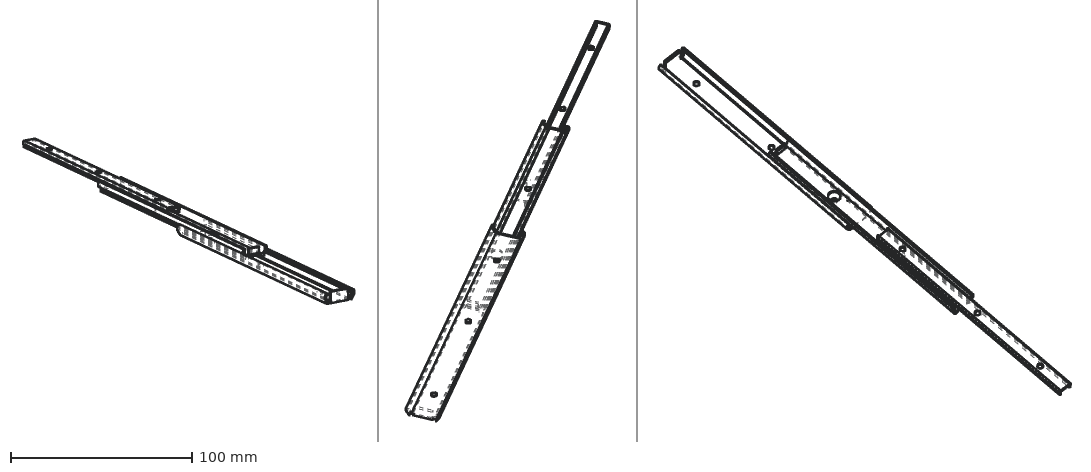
import cadquery as cq
import math

total_length = 314.6
outer_length = 150.0
outer_start = total_length - outer_length
middle_start = 81.6
middle_length = 147.0
middle_end = middle_start + middle_length
inner_length = 146.0

half_width = 19.69 / 2
total_height = 10.2

hole_offsets = (20.0, 70.0, 130.0)
hole_diameter = 3.2
access_hole_diameter = 7.0

outer_floor = 1.0
outer_wall = 0.9
outer_floor_half = 7.2
flange_edge = (8.0, 0.9)
floor_step_bottom = 5.9
floor_step_top = (6.2, 1.6)
race_y = 7.65
race_z = 4.5
race_radius = half_width - race_y
race_lip_angle = math.radians(80)

tab_half_width = 5.6
tab_height = 7.2
tab_thickness = 1.5
tab_inner_bend = 0.4
tab_slot_length = tab_thickness + tab_inner_bend
tab_slot_half = 7.7

foot_bottom = 3.1
foot_edge_height = 0.6
foot_half = 6.2
channel_half = 3.6
channel_top = 4.0
channel_mouth_half = 4.2
middle_floor = 5.1
middle_floor_half = 3.3
valley = (4.75, 4.5)
waist_half = 5.8
waist_z = 4.6
bulge_start = (6.4, 5.4)
bulge_point = (8.0, 7.2)
lip_outer_half = 7.2
lip_inner_half = 6.2
inner_race_point = (6.5, 7.2)
shoulder_point = (4.1, 4.9)
middle_top = 9.0
stop_height = 8.5
stop_thickness = 1.2
stop_inset = 0.8

inner_half_width = 4.3
inner_flat_half = 3.4
inner_shoulder_z = 8.4
inner_shoulder_point = (4.15, 9.6)
inner_bottom = 6.7
inner_sheet = 1.1
leg_recess = 0.2
leg_inner_half = 3.1
end_notch_depth = 0.8
end_notch_half = 3.3


def block(x_start, x_end, half_y, z_bottom, z_top):
    """Rectangular block, symmetrical about the XZ plane."""
    return (
        cq.Workplane("XY")
        .box(x_end - x_start, 2 * half_y, z_top - z_bottom, centered=(False, True, False))
        .translate((x_start, 0, z_bottom))
    )


def drill(body, x_positions, diameter):
    """Drill vertical holes on the centre line, through the whole height."""
    cutters = (
        cq.Workplane("XY")
        .pushPoints([(x, 0) for x in x_positions])
        .circle(diameter / 2)
        .extrude(total_height)
    )
    return body.cut(cutters)


def race_point(radius, angle):
    """Point of the outer rail's ball race section at an angle above +Y."""
    return (race_y + radius * math.cos(angle), race_z + radius * math.sin(angle))


def outer_section():
    """Outer rail section; the sloped side runs tangent into the race."""
    edge_dy = flange_edge[0] - race_y
    edge_dz = flange_edge[1] - race_z
    edge_distance = math.hypot(edge_dy, edge_dz)
    tangent_angle = math.atan2(edge_dz, edge_dy) + math.acos(race_radius / edge_distance)
    inner_radius = race_radius - outer_wall
    return (
        cq.Workplane("YZ", origin=(outer_start, 0, 0))
        .lineTo(outer_floor_half, 0)
        .lineTo(*flange_edge)
        .lineTo(*race_point(race_radius, tangent_angle))
        .threePointArc(race_point(race_radius, 0), race_point(race_radius, race_lip_angle))
        .lineTo(*race_point(inner_radius, race_lip_angle))
        .threePointArc(race_point(inner_radius, 0), race_point(inner_radius, tangent_angle))
        .lineTo(*floor_step_top)
        .lineTo(floor_step_bottom, outer_floor)
        .lineTo(0, outer_floor)
        .mirrorY()
    )


def make_end_tab():
    slot_start = total_length - tab_slot_length
    tab_face = total_length - tab_thickness
    return (
        cq.Workplane("XZ", origin=(0, tab_half_width, 0))
        .moveTo(slot_start, 0)
        .radiusArc((total_length, tab_slot_length), -tab_slot_length)
        .lineTo(total_length, tab_height)
        .lineTo(tab_face, tab_height)
        .lineTo(tab_face, outer_floor + tab_inner_bend)
        .radiusArc((slot_start, outer_floor), tab_inner_bend)
        .close()
        .extrude(2 * tab_half_width)
    )


def make_outer_rail():
    rail = outer_section().extrude(outer_length)
    slot_start = total_length - tab_slot_length
    rail = rail.cut(block(slot_start, total_length, tab_slot_half, 0, total_height))
    rail = rail.union(make_end_tab())
    return drill(rail, [outer_start + offset for offset in hole_offsets], hole_diameter)


def middle_section():
    return (
        cq.Workplane("YZ", origin=(middle_start, 0, 0))
        .moveTo(0, channel_top)
        .lineTo(channel_half, channel_top)
        .lineTo(channel_mouth_half, foot_bottom)
        .lineTo(foot_half, foot_bottom)
        .lineTo(foot_half, foot_bottom + foot_edge_height)
        .threePointArc((waist_half, waist_z), bulge_start)
        .threePointArc(bulge_point, (lip_outer_half, middle_top))
        .lineTo(lip_inner_half, middle_top)
        .threePointArc(inner_race_point, valley)
        .threePointArc(shoulder_point, (middle_floor_half, middle_floor))
        .lineTo(0, middle_floor)
        .mirrorY()
    )


def make_middle_rail():
    rail = middle_section().extrude(middle_length)
    stop_end = middle_end - stop_inset
    stop_start = stop_end - stop_thickness
    rail = rail.union(block(stop_start, stop_end, middle_floor_half, channel_top, stop_height))
    rail = drill(rail, [hole_offsets[-1]], hole_diameter)
    return drill(rail, [outer_start + hole_offsets[0]], access_hole_diameter)


def inner_section():
    leg_outer_half = inner_half_width - leg_recess
    plate_bottom = total_height - inner_sheet
    return (
        cq.Workplane("YZ")
        .moveTo(0, total_height)
        .lineTo(inner_flat_half, total_height)
        .threePointArc(inner_shoulder_point, (inner_half_width, inner_shoulder_z))
        .lineTo(leg_outer_half, inner_shoulder_z)
        .lineTo(leg_outer_half, inner_bottom)
        .lineTo(leg_inner_half, inner_bottom)
        .lineTo(leg_inner_half, plate_bottom)
        .lineTo(0, plate_bottom)
        .mirrorY()
    )


def make_inner_rail():
    rail = inner_section().extrude(inner_length)
    notch_start = inner_length - end_notch_depth
    rail = rail.cut(block(notch_start, inner_length, end_notch_half, 0, total_height))
    return drill(rail, hole_offsets, hole_diameter)


outer_rail = make_outer_rail()
middle_rail = make_middle_rail()
inner_rail = make_inner_rail()

result = cq.Compound.makeCompound([outer_rail.val(), middle_rail.val(), inner_rail.val()])